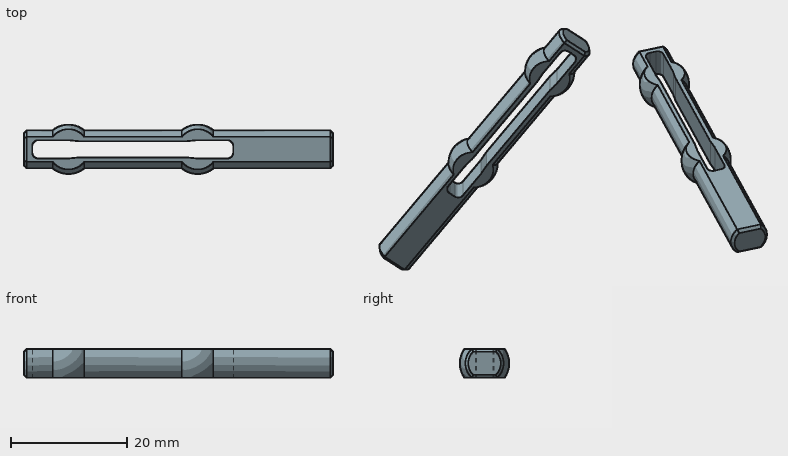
import cadquery as cq

bar_length = 53.12
bar_diameter = 6.58
thickness = 5.0
end_chamfer = 0.5

ball_diameter = 8.54
first_ball_x = 7.65
ball_spacing = 22.2

slot_start_x = 1.45
slot_length = 34.5
slot_end_width = 3.1
slot_mid_width = 2.75
slot_end_length = 6.2
slot_taper_length = 1.8
slot_corner_radius = 1.0


def make_flattened_bar():
    """Round bar with flats above and below, chamfered around both ends."""
    round_bar = cq.Workplane("YZ").circle(bar_diameter / 2).extrude(bar_length)
    bar = round_bar.intersect(make_flat_slab())
    return bar.faces("<X or >X").chamfer(end_chamfer)


def make_flat_slab():
    """Slab between the two flats, wide enough to hold bar and balls."""
    return cq.Workplane("XY").box(
        bar_length, 2 * ball_diameter, thickness, centered=(False, True, True)
    )


def make_ball(x):
    """Ball centred on the bar axis, cut flush with the flats."""
    ball = cq.Workplane("XY").sphere(ball_diameter / 2).translate((x, 0, 0))
    return ball.intersect(make_flat_slab())


def make_slot():
    """Through slot with rounded corners and a slightly narrower middle."""
    slot_end_x = slot_start_x + slot_length
    half_end = slot_end_width / 2
    half_mid = slot_mid_width / 2
    upper_edge = [
        (slot_start_x, half_end),
        (slot_start_x + slot_end_length, half_end),
        (slot_start_x + slot_end_length + slot_taper_length, half_mid),
        (slot_end_x - slot_end_length - slot_taper_length, half_mid),
        (slot_end_x - slot_end_length, half_end),
        (slot_end_x, half_end),
    ]
    lower_edge = [(x, -y) for x, y in reversed(upper_edge)]
    slot = (
        cq.Workplane("XY")
        .polyline(upper_edge + lower_edge)
        .close()
        .extrude(thickness / 2, both=True)
    )
    end_corners = slot.faces("<X or >X").edges("|Z")
    return end_corners.fillet(slot_corner_radius)


result = make_flattened_bar()
for ball_x in (first_ball_x, first_ball_x + ball_spacing):
    result = result.union(make_ball(ball_x))
result = result.cut(make_slot())